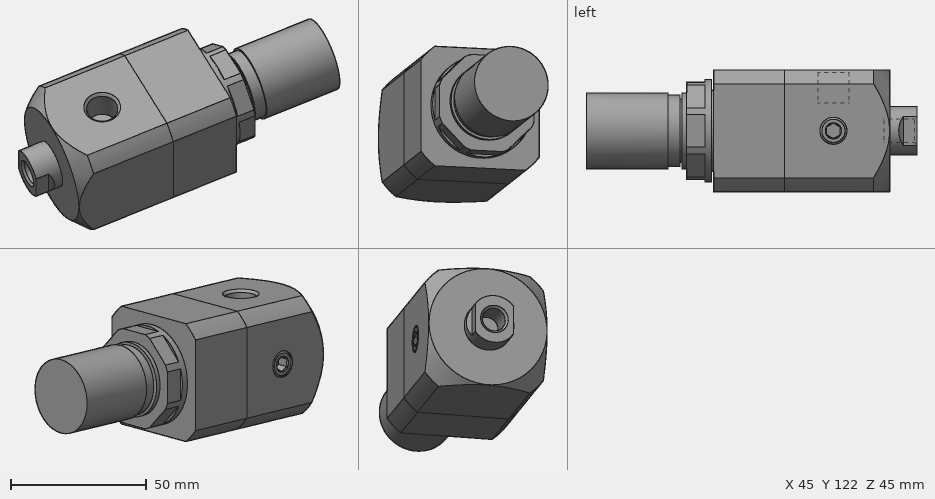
import cadquery as cq
import math


overall_length = 122

block_width = 45.0
flat_width = 34.6
corner_diameter = math.hypot(block_width, flat_width)
housing_length = 38.9
block_length = 65.0
front_circle_diameter = 44.8
front_cone_angle = 45

stem_diameter = 18.0
stem_length = 10.0
stem_flat_width = 14.5
stem_flat_length = 5.0
stem_bore_diameter = 8.7
stem_bore_mouth = 10.5
stem_bore_depth = 12.2

port_y = 20.9
port_diameter = 11.5
port_mouth = 13.5
port_depth = 12.2

screw_diameter = 10.0
screw_length = 9.8
screw_end_diameter = 8.5
socket_sides = 6
socket_width = 5.0
socket_mouth = 6.0
socket_depth = 4.9

nut_neck_diameter = 30.0
nut_neck_end = 65.8
flange_diameter = 38.0
flange_end = 68.3
nut_width = 36.0
nut_flat_count = 8
nut_end = 75.0
collar_diameter = 28
collar_end = 76.7
groove_diameter = 23.5
groove_end = 77.5
knob_neck_diameter = 26.5
knob_neck_end = 81.9
knob_diameter = 28
knob_end = overall_length - stem_length


def cylinder_y(diameter, start, end):
    """Cylinder on the Y axis between two y positions."""
    direction = cq.Vector(0, 1, 0)
    return cq.Workplane(cq.Solid.makeCylinder(diameter / 2, end - start, cq.Vector(0, start, 0), direction))


def block(start, end):
    """Square bar along Y with its corners turned to a cylinder."""
    square = cq.Workplane("XY").box(block_width, end - start, block_width)
    return square.translate((0, (start + end) / 2, 0)).intersect(cylinder_y(corner_diameter, start, end))


def chamfered_cutter(diameter, mouth, depth, origin, direction):
    """Blind round cutter with a 45 degree cone that opens to the mouth diameter."""
    cone_depth = (mouth - diameter) / 2
    bore = cq.Solid.makeCylinder(diameter / 2, depth, cq.Vector(*origin), cq.Vector(*direction))
    cone = cq.Solid.makeCone(mouth / 2, diameter / 2, cone_depth, cq.Vector(*origin), cq.Vector(*direction))
    return cq.Workplane(bore.fuse(cone))


def front_cone():
    """Envelope that bevels the front corners of the block."""
    front_radius = front_circle_diameter / 2
    back_radius = front_radius + housing_length * math.tan(math.radians(front_cone_angle))
    return cq.Workplane(
        cq.Solid.makeCone(front_radius, back_radius, housing_length, cq.Vector(0, 0, 0), cq.Vector(0, 1, 0))
    )


def make_stem():
    """Round stem narrowed by two flats, each ending in a 45 degree slope."""
    slope = (stem_diameter - stem_flat_width) / 2
    flat_end = stem_flat_length - stem_length
    half_flat = stem_flat_width / 2
    half_full = stem_diameter / 2
    envelope = (
        cq.Workplane("XY")
        .polyline([
            (-half_flat, -stem_length),
            (half_flat, -stem_length),
            (half_flat, flat_end),
            (half_full, flat_end + slope),
            (half_full, 0),
            (-half_full, 0),
            (-half_full, flat_end + slope),
            (-half_flat, flat_end),
        ])
        .close()
        .extrude(stem_diameter / 2, both=True)
    )
    return cylinder_y(stem_diameter, -stem_length, 0).intersect(envelope)


def make_housing():
    """Front block with its stem, chamfered ports and the hole for the set screw."""
    body = block(0, housing_length).intersect(front_cone()).union(make_stem())
    stem_bore = chamfered_cutter(
        stem_bore_diameter, stem_bore_mouth, stem_bore_depth, (0, -stem_length, 0), (0, 1, 0)
    )
    port = chamfered_cutter(
        port_diameter, port_mouth, port_depth, (0, port_y, block_width / 2), (0, 0, -1)
    )
    screw_hole = (
        cq.Workplane("YZ", origin=(-block_width / 2, port_y, 0)).circle(screw_diameter / 2).extrude(screw_length)
    )
    return body.cut(stem_bore).cut(port).cut(screw_hole)


def make_set_screw():
    """Flush screw with a chamfered end and a hexagon socket, two of its flats upright."""
    outer_face = cq.Workplane("YZ", origin=(-block_width / 2, port_y, 0))
    chamfer = (screw_diameter - screw_end_diameter) / 2
    body = outer_face.circle(screw_diameter / 2).extrude(screw_length).faces("<X").chamfer(chamfer)
    socket_corner_diameter = socket_width / math.cos(math.pi / socket_sides)
    socket = (
        outer_face.transformed(rotate=(0, 0, 90))
        .polygon(socket_sides, socket_corner_diameter)
        .extrude(socket_depth)
    )
    countersink = cq.Workplane(
        cq.Solid.makeCone(
            socket_mouth / 2,
            socket_width / 2,
            (socket_mouth - socket_width) / 2,
            cq.Vector(-block_width / 2, port_y, 0),
            cq.Vector(1, 0, 0),
        )
    )
    return body.cut(socket).cut(countersink)


def make_nut():
    """Round flange and, behind it, the same diameter cut by eight flats."""
    across_corners = nut_width / math.cos(math.pi / nut_flat_count)
    half_step = 180 / nut_flat_count
    octagon = (
        cq.Workplane("XZ", origin=(0, flange_end, 0))
        .transformed(rotate=(0, 0, half_step))
        .polygon(nut_flat_count, across_corners)
        .extrude(flange_end - nut_end)
    )
    flats = cylinder_y(flange_diameter, flange_end, nut_end).intersect(octagon)
    return cylinder_y(flange_diameter, nut_neck_end, flange_end).union(flats)


def make_bonnet():
    """Rear block with the nut, the grooved collar and the knob."""
    body = block(housing_length, block_length)
    body = body.union(cylinder_y(nut_neck_diameter, block_length, nut_neck_end))
    body = body.union(make_nut())
    start = nut_end
    for diameter, end in [
        (collar_diameter, collar_end),
        (groove_diameter, groove_end),
        (knob_neck_diameter, knob_neck_end),
        (knob_diameter, knob_end),
    ]:
        body = body.union(cylinder_y(diameter, start, end))
        start = end
    return body


housing = make_housing()
set_screw = make_set_screw()
bonnet = make_bonnet()

result = cq.Compound.makeCompound([housing.solids().val(), set_screw.solids().val(), bonnet.solids().val()])